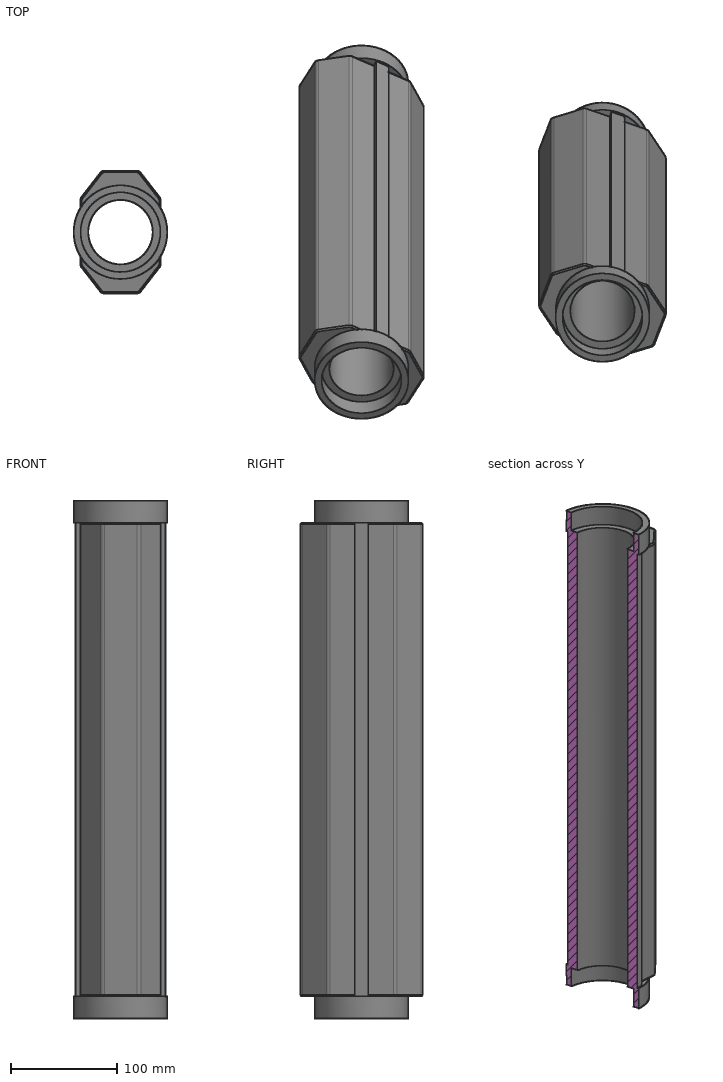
import cadquery as cq

length = 487.0
collar_radius = 44.05
collar_length = 21.0
bore_radius = 30.0
socket_radius = 37.5
socket_depth = 18.5

body_length = length - 2 * collar_length
body_half_x = 37.72
body_half_y = 57.7
side_flat_half_width = 31.5
end_flat_half_width = 17.5
corner_radius = 5.0
rim_chamfer = 1.5

rib_half_x = 42.5
rib_width = 13.0


def make_body():
    """Octagonal prism with rounded corners, bevelled end rims and two side ribs."""
    right_half = [
        (end_flat_half_width, -body_half_y),
        (body_half_x, -side_flat_half_width),
        (body_half_x, side_flat_half_width),
        (end_flat_half_width, body_half_y),
    ]
    outline = right_half + [(-x, -y) for x, y in right_half]
    base = cq.Workplane("XY").workplane(offset=collar_length)
    prism = (
        base.polyline(outline)
        .close()
        .extrude(body_length)
        .edges("|Z")
        .fillet(corner_radius)
        .faces("<Z or >Z")
        .chamfer(rim_chamfer)
    )
    ribs = base.rect(2 * rib_half_x, rib_width).extrude(body_length)
    return prism.union(ribs)


def cylinder(radius, bottom, height):
    return cq.Workplane("XY").workplane(offset=bottom).circle(radius).extrude(height)


result = make_body()
for collar_bottom in (0, length - collar_length):
    result = result.union(cylinder(collar_radius, collar_bottom, collar_length))

result = result.cut(cylinder(bore_radius, 0, length))
for socket_bottom in (0, length - socket_depth):
    result = result.cut(cylinder(socket_radius, socket_bottom, socket_depth))